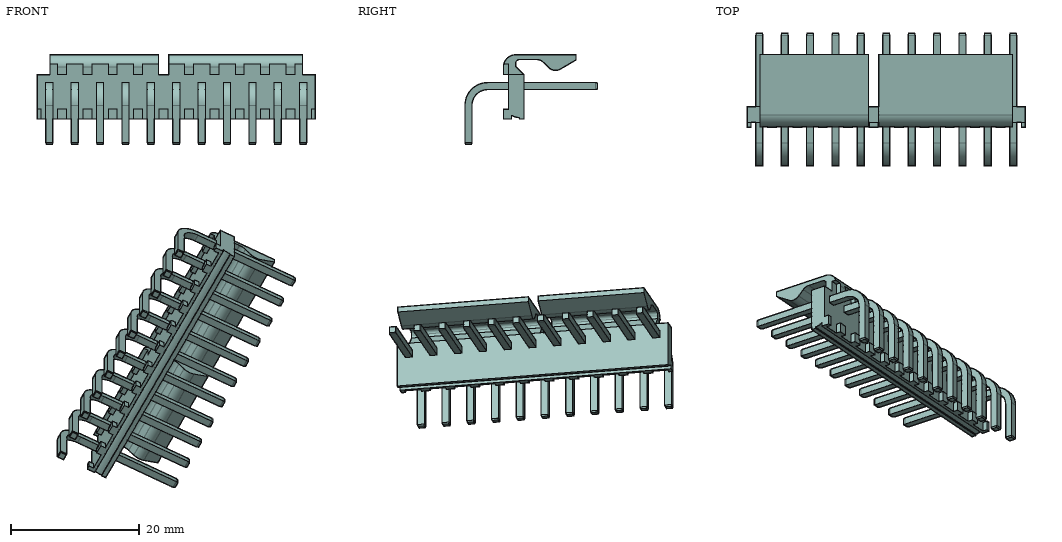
import cadquery as cq
import math


wall_length = 43.4
wall_depth = 2.47
wall_height = 6.95
groove_front = 0.5
groove_back = 1.75
groove_shallow = 0.2
groove_deep = 0.6
groove_bulge = 0.1

pin_count = 11
pin_row_span = 39.6
pin_width = 1.15
pin_axis_z = 5.15
pin_back_y = 13.95
pin_front_y = -6.77
pin_bottom_z = -3.9
bend_outer_radius = 3.55
tip_inset = 0.1
back_tip_length = 0.35
bottom_tip_length = 0.25

tab_width = 1.4
tab_depth = 0.8
lower_tab_height = 1.55

latch_span = 39.4
latch_gap = 1.55
pins_left_of_gap = 5
latch_top_z = 10.05
latch_back_y = 10.6
latch_lip_z = 9.25
latch_arm_z = 9.3
latch_outer_radius = 1.95
latch_inner_radius = 0.55
latch_leg_depth = 1.17
shoulder_z = 8.65
hump_y = 7.4
hump_bottom_z = 7.6
hump_radius = 1.48
hump_front_slope = 44
arm_blend_radius = 1.48

pitch = pin_row_span / (pin_count - 1)
first_pin_x = -pin_row_span / 2
gap_x = first_pin_x + (pins_left_of_gap - 0.5) * pitch

corner_y = latch_outer_radius - tab_depth
corner_z = latch_top_z - latch_outer_radius
shoulder_angle = math.degrees(math.asin((shoulder_z - corner_z) / latch_outer_radius))


def corner_point(angle):
    """Y-Z point on the latch corner: 0 degrees at its foot, 90 degrees at its top."""
    radians = math.radians(angle)
    return (
        corner_y - latch_outer_radius * math.cos(radians),
        corner_z + latch_outer_radius * math.sin(radians),
    )


def extrude_along_x(outline, x_start, x_end):
    """Extrude a closed Y-Z outline from x_start to x_end."""
    return outline.extrude(x_end - x_start).translate((x_start, 0, 0))


def block(x_range, y_range, z_range):
    """Box between the given limits."""
    size = [high - low for low, high in (x_range, y_range, z_range)]
    corner = (x_range[0], y_range[0], z_range[0])
    return cq.Workplane("XY").box(*size, centered=False).translate(corner)


def make_wall():
    """Upright wall with a slanting, slightly bulging groove along its underside."""
    outline = (
        cq.Workplane("YZ")
        .lineTo(groove_front, 0)
        .lineTo(groove_front, groove_deep)
        .sagittaArc((groove_back, groove_shallow), -groove_bulge)
        .lineTo(groove_back, 0)
        .lineTo(wall_depth, 0)
        .lineTo(wall_depth, wall_height)
        .lineTo(0, wall_height)
        .close()
    )
    return extrude_along_x(outline, -wall_length / 2, wall_length / 2)


def make_latch(x_start, x_end):
    """Latch finger: leg on the wall, rounded corner, flat arm and a locking hump under its end."""
    hump_center_z = hump_bottom_z + hump_radius
    front_angle = math.radians(hump_front_slope)

    lip_offset_y = latch_back_y - hump_y
    lip_offset_z = latch_lip_z - hump_center_z
    lip_distance = math.hypot(lip_offset_y, lip_offset_z)
    back_angle = math.atan2(lip_offset_z, lip_offset_y) + math.asin(hump_radius / lip_distance)

    hump_back = (
        hump_y + hump_radius * math.sin(back_angle),
        hump_center_z - hump_radius * math.cos(back_angle),
    )
    hump_front = (
        hump_y - hump_radius * math.sin(front_angle),
        hump_center_z - hump_radius * math.cos(front_angle),
    )
    blend_z = latch_arm_z - arm_blend_radius * (1 - math.cos(front_angle))
    blend_y = hump_front[0] - (blend_z - hump_front[1]) / math.tan(front_angle)
    arm_y = blend_y - arm_blend_radius * math.sin(front_angle)

    flare_z = wall_height + wall_depth - latch_leg_depth

    outline = (
        cq.Workplane("YZ")
        .moveTo(0, wall_height)
        .lineTo(0, shoulder_z)
        .lineTo(*corner_point(shoulder_angle))
        .threePointArc(corner_point((shoulder_angle + 90) / 2), corner_point(90))
        .lineTo(latch_back_y, latch_top_z)
        .lineTo(latch_back_y, latch_lip_z)
        .lineTo(*hump_back)
        .threePointArc((hump_y, hump_bottom_z), hump_front)
        .lineTo(blend_y, blend_z)
        .tangentArcPoint((arm_y, latch_arm_z), relative=False)
        .lineTo(latch_leg_depth + latch_inner_radius, latch_arm_z)
        .tangentArcPoint((latch_leg_depth, latch_arm_z - latch_inner_radius), relative=False)
        .lineTo(latch_leg_depth, flare_z)
        .lineTo(wall_depth, wall_height)
        .close()
    )
    return extrude_along_x(outline, x_start, x_end)


def make_upper_tab(x_center):
    """Standoff below the latch corner, its front flush with the end of the corner arc."""
    outline = (
        cq.Workplane("YZ")
        .moveTo(0, wall_height)
        .lineTo(0, shoulder_z)
        .lineTo(*corner_point(shoulder_angle))
        .threePointArc(corner_point(shoulder_angle / 2), corner_point(0))
        .lineTo(-tab_depth, wall_height)
        .close()
    )
    return extrude_along_x(outline, x_center - tab_width / 2, x_center + tab_width / 2)


def make_lower_tab(x_center):
    """Standoff at the foot of the wall, trimmed where it would pass the end of the wall."""
    x_low = max(x_center - tab_width / 2, -wall_length / 2)
    x_high = min(x_center + tab_width / 2, wall_length / 2)
    return block((x_low, x_high), (-tab_depth, 0), (0, lower_tab_height))


def make_tip(length):
    """Square frustum that tapers upward from the pin section."""
    end_width = pin_width - 2 * tip_inset
    return (
        cq.Workplane("XY")
        .rect(pin_width, pin_width)
        .workplane(offset=length)
        .rect(end_width, end_width)
        .loft(combine=True)
    )


def make_pin():
    """Square pin centred on X = 0, bent down in front of the wall, tapered at both ends."""
    half_width = pin_width / 2
    bend_y = pin_front_y + bend_outer_radius
    bend_z = pin_axis_z + half_width - bend_outer_radius
    inner_radius = bend_outer_radius - pin_width
    back_y = pin_back_y - back_tip_length
    bottom_z = pin_bottom_z + bottom_tip_length
    outline = (
        cq.Workplane("YZ")
        .moveTo(back_y, pin_axis_z + half_width)
        .lineTo(bend_y, pin_axis_z + half_width)
        .tangentArcPoint((pin_front_y, bend_z), relative=False)
        .lineTo(pin_front_y, bottom_z)
        .lineTo(pin_front_y + pin_width, bottom_z)
        .lineTo(pin_front_y + pin_width, bend_z)
        .tangentArcPoint((inner_radius, inner_radius))
        .lineTo(back_y, pin_axis_z - half_width)
        .close()
    )
    back_tip = make_tip(back_tip_length).rotate((0, 0, 0), (1, 0, 0), -90)
    bottom_tip = make_tip(bottom_tip_length).rotate((0, 0, 0), (1, 0, 0), 180)
    return (
        extrude_along_x(outline, -half_width, half_width)
        .union(back_tip.translate((0, back_y, pin_axis_z)))
        .union(bottom_tip.translate((0, pin_front_y + half_width, bottom_z)))
    )


result = make_wall()
result = result.union(make_latch(-latch_span / 2, gap_x - latch_gap / 2))
result = result.union(make_latch(gap_x + latch_gap / 2, latch_span / 2))

for index in range(pin_count + 1):
    tab_x = first_pin_x + (index - 0.5) * pitch
    result = result.union(make_lower_tab(tab_x))
    if 0 < index < pin_count and index != pins_left_of_gap:
        result = result.union(make_upper_tab(tab_x))

pin = make_pin()
for index in range(pin_count):
    result = result.union(pin.translate((first_pin_x + index * pitch, 0, 0)))